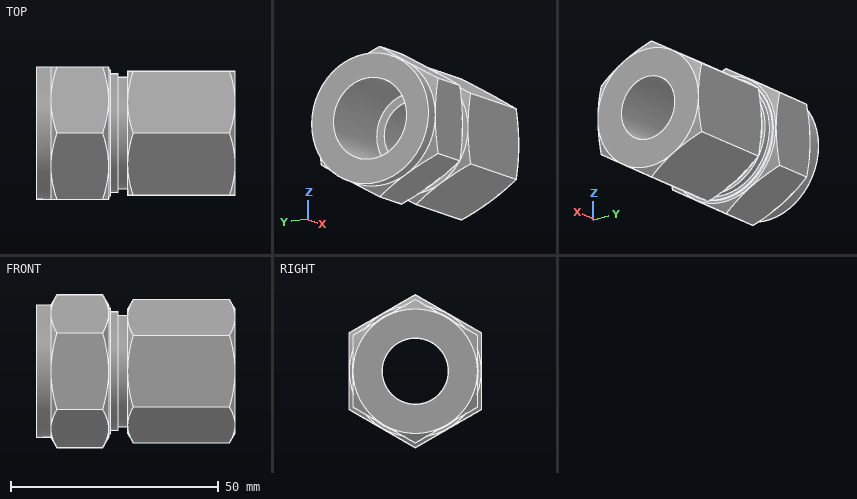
import cadquery as cq
import math


collar_end = 3.5
nut_hex_end = 17.45
nut_lip_end = 17.9
shoulder_end = 19.7
neck_end = 22.0
total_length = 47.9

nut_flats = 32.0
body_flats = 30.0

collar_diameter = nut_flats
nut_lip_diameter = 30.4
shoulder_diameter = 28.7
neck_diameter = 27.0

nut_front_face_diameter = nut_flats
nut_rear_face_diameter = 31.8
body_face_diameter = body_flats

socket_diameter = 20.0
bore_diameter = 15.9
socket_depth = neck_end

chamfer_angle = math.radians(30)


def round_section(x_start, x_end, diameter):
    """Cylinder on the X axis between two stations."""
    return (
        cq.Workplane("YZ", origin=(x_start, 0, 0))
        .circle(diameter / 2)
        .extrude(x_end - x_start)
    )


def hex_section(x_start, x_end, flats, start_diameter, end_diameter):
    """Hexagonal prism on the X axis, its corners turned off by a cone at both ends."""
    corner_radius = flats / 2 / math.cos(math.pi / 6)
    start_radius = start_diameter / 2
    end_radius = end_diameter / 2
    start_chamfer = (corner_radius - start_radius) * math.tan(chamfer_angle)
    end_chamfer = (corner_radius - end_radius) * math.tan(chamfer_angle)

    corners = []
    for index in range(6):
        angle = math.pi / 2 + index * math.pi / 3
        corners.append((corner_radius * math.cos(angle), corner_radius * math.sin(angle)))
    prism = (
        cq.Workplane("YZ", origin=(x_start, 0, 0))
        .polyline(corners)
        .close()
        .extrude(x_end - x_start)
    )

    turned_envelope = (
        cq.Workplane("XY")
        .moveTo(x_start, 0)
        .lineTo(x_start, start_radius)
        .lineTo(x_start + start_chamfer, corner_radius)
        .lineTo(x_end - end_chamfer, corner_radius)
        .lineTo(x_end, end_radius)
        .lineTo(x_end, 0)
        .close()
        .revolve(360, (0, 0, 0), (1, 0, 0))
    )
    return prism.intersect(turned_envelope)


nut = round_section(0, collar_end, collar_diameter)
nut_hex = hex_section(
    collar_end, nut_hex_end, nut_flats, nut_front_face_diameter, nut_rear_face_diameter
)
nut = nut.union(nut_hex)
nut = nut.union(round_section(nut_hex_end, nut_lip_end, nut_lip_diameter))

body = round_section(nut_lip_end, shoulder_end, shoulder_diameter)
body = body.union(round_section(shoulder_end, neck_end, neck_diameter))
body_hex = hex_section(
    neck_end, total_length, body_flats, body_face_diameter, body_face_diameter
)
body = body.union(body_hex)

socket = round_section(0, socket_depth, socket_diameter)
through_bore = round_section(0, total_length, bore_diameter)
result = nut.union(body).cut(socket).cut(through_bore)